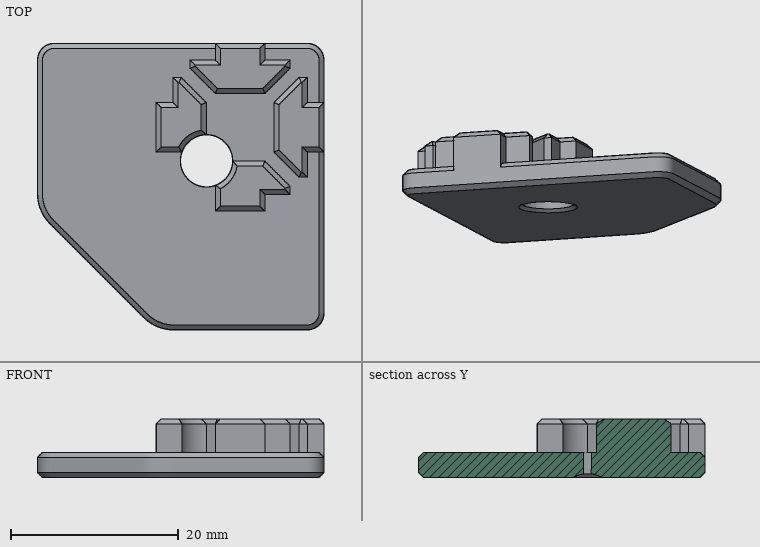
import cadquery as cq
import math

side_length = 20.0
corner_cut = side_length / math.sqrt(2)
plate_size = side_length + corner_cut
plate_thickness = 3.0
corner_radius = 2.0
cut_corner_radius = 5.0
edge_chamfer = 0.6

pad_height = 4.0
profile_half_width = 10.0
stem_half_width = 2.95
head_half_width = 5.95
head_outer_distance = 8.0
head_inner_distance = 4.03
head_tip_distance = head_inner_distance + head_half_width - stem_half_width

total_height = plate_thickness + pad_height

hole_diameter = 6.2
hole_offset = 4.0
hole_bottom_chamfer = 0.4

plate_max = profile_half_width
plate_min = plate_max - plate_size
cut_end = plate_min + corner_cut


def make_plate():
    selection_margin = 1.0
    outline = [
        (plate_max, plate_max),
        (plate_min, plate_max),
        (plate_min, cut_end),
        (cut_end, plate_min),
        (plate_max, plate_min),
    ]
    plate = cq.Workplane("XY").polyline(outline).close().extrude(plate_thickness)
    cut_corners = cq.selectors.BoxSelector(
        (plate_min - selection_margin, plate_min - selection_margin, 0),
        (cut_end + selection_margin, cut_end + selection_margin, plate_thickness),
    )
    square_corners = cq.StringSyntaxSelector("|Z") - cut_corners
    plate = plate.edges(square_corners).fillet(corner_radius)
    plate = plate.edges("|Z").edges(cut_corners).fillet(cut_corner_radius)
    return plate.faces("<Z or >Z").edges().chamfer(edge_chamfer)


def make_pad(angle, beside_hole_on_left=False, beside_hole_on_right=False):
    root_height = plate_thickness - edge_chamfer
    stem_corner = (stem_half_width, profile_half_width)
    full_half = [
        stem_corner,
        (stem_half_width, head_outer_distance),
        (head_half_width, head_outer_distance),
        (head_half_width, head_tip_distance),
        (stem_half_width, head_inner_distance),
    ]
    plain_half = [stem_corner, (stem_half_width, head_inner_distance)]
    right_half = plain_half if beside_hole_on_right else full_half
    left_half = plain_half if beside_hole_on_left else full_half
    mirrored_left_half = [(-x, y) for x, y in reversed(left_half)]
    pad = (
        cq.Workplane("XY")
        .workplane(offset=root_height)
        .polyline(right_half + mirrored_left_half)
        .close()
        .extrude(total_height - root_height)
    )
    pad = pad.faces(">Z").edges().chamfer(edge_chamfer)
    return pad.rotate((0, 0, 0), (0, 0, 1), angle)


def make_hole_cutter():
    hole_radius = hole_diameter / 2
    profile = [
        (0, 0),
        (hole_radius + hole_bottom_chamfer, 0),
        (hole_radius, hole_bottom_chamfer),
        (hole_radius, total_height - edge_chamfer),
        (hole_radius + edge_chamfer, total_height),
        (0, total_height),
    ]
    cutter = cq.Workplane("XZ").polyline(profile).close().revolve(360, (0, 0), (0, 1))
    return cutter.translate((-hole_offset, -hole_offset, 0))


pads = [
    make_pad(0),
    make_pad(90, beside_hole_on_left=True),
    make_pad(180, beside_hole_on_right=True),
    make_pad(270),
]
result = make_plate()
for pad in pads:
    result = result.union(pad)
result = result.cut(make_hole_cutter())